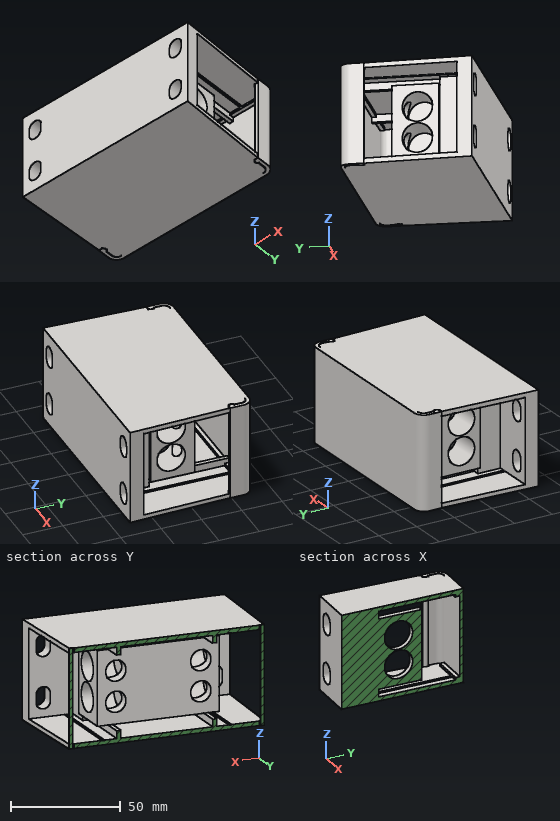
import cadquery as cq

LENGTH = 100.0
DEPTH = 62.0
HEIGHT = 48.0
FRONT = -DEPTH / 2
BACK = DEPTH / 2

PLATE = 2.4
FRONT_WALL = 7.0

COVER_LENGTH = 96.6
COVER_WALL = 2.0
COVER_SKIRT = 11.5
COVER_RADIUS = 5.0
BEAD_RADIUS = 1.5
BEAD_INSET = 0.6
COVER_GAP = 0.3
SEAM = 0.1
SHOULDER_STEP = 0.1

SLOT_WIDTH = 7.0
SLOT_HEIGHT = 10.5
SLOT_PITCH_X = 85.0
SLOT_PITCH_Z = 24.9

CORE_LENGTH = 60.2
FOOT_LENGTH = 56.0
FOOT_BACK = 19.0
CORE_BACK = 40.8
CORE_HEIGHT = 36.0
BORE_DIAMETER = 14.0
BORE_PITCH = 14.8
BORE_FROM_FRONT = 29.0
BORE_DEPTH = 16.0
CROSS_DIAMETER = 10.0
CROSS_SPAN = 42.0
RIB_WIDTH = 2.2
RIB_SPAN = 49.6

RAIL_DEPTH = 2.2
RAIL_HEIGHT = 1.2
GROOVE_WIDTH = 1.0
GROOVE_DEPTH = 0.3
GROOVE_SPAN = 62.7

COVER_HALF = COVER_LENGTH / 2
COVER_INSIDE = COVER_HALF - COVER_WALL
COVER_BACK = BACK - COVER_WALL
COVER_END = BACK - COVER_SKIRT
INNER_RADIUS = COVER_RADIUS - COVER_WALL
CAVITY_FRONT = FRONT + FRONT_WALL
CAVITY_HEIGHT = HEIGHT - 2 * PLATE
BEAD_X = COVER_INSIDE + BEAD_INSET
BEAD_Y = COVER_END + BEAD_RADIUS


def box(x_range, y_range, z_range):
    """Box between the given limits on each axis."""
    sizes = [high - low for low, high in (x_range, y_range, z_range)]
    corner = (x_range[0], y_range[0], z_range[0])
    return cq.Workplane("XY").box(*sizes, centered=False).translate(corner)


def centred(size):
    return (-size / 2, size / 2)


def prism(outline, height):
    """Extrude an XY outline equally above and below Z = 0."""
    return outline.extrude(height / 2, both=True)


def both_ends(solid):
    return solid.union(solid.mirror("YZ"))


def both_plates(solid):
    return solid.union(solid.mirror("XY"))


def cover_block(half_length, back, radius):
    """Full-height block from the cover's end face to its back, with rounded back corners."""
    block = box((-half_length, half_length), (COVER_END, back), centred(HEIGHT))
    return block.edges("|Z and >Y").fillet(radius)


def beads(radius):
    bead = prism(cq.Workplane("XY").center(BEAD_X, BEAD_Y).circle(radius), HEIGHT)
    return both_ends(bead)


def shell():
    """Solid outer form: a body tapering to the back, capped by the wider rounded cover."""
    half = LENGTH / 2
    shoulder = COVER_HALF - SHOULDER_STEP
    outline = cq.Workplane("XY").polyline([
        (-half, FRONT), (half, FRONT),
        (shoulder, COVER_END), (-shoulder, COVER_END),
    ]).close()
    return prism(outline, HEIGHT).union(cover_block(COVER_HALF, BACK, COVER_RADIUS))


def cavity():
    """Space behind the front wall, narrowed by the cover's side walls at the back."""
    tunnel = box(centred(LENGTH), (CAVITY_FRONT, COVER_END), centred(CAVITY_HEIGHT))
    behind_cover = cover_block(COVER_INSIDE, COVER_BACK, INNER_RADIUS)
    behind_cover = behind_cover.cut(beads(BEAD_RADIUS))
    slab = box(centred(LENGTH), (COVER_END, BACK), centred(CAVITY_HEIGHT))
    return tunnel.union(behind_cover.intersect(slab))


def cover_clearance():
    """Gap between the plates and the cover's side walls, around the corners and beads."""
    inside = cover_block(COVER_INSIDE, COVER_BACK, INNER_RADIUS)
    plate_tab = cover_block(COVER_INSIDE - COVER_GAP, COVER_BACK, INNER_RADIUS)
    gap = inside.cut(plate_tab).union(beads(BEAD_RADIUS + COVER_GAP))
    behind_end = box(centred(LENGTH), (COVER_END, BACK), centred(HEIGHT))
    side_walls = behind_end.cut(inside).union(beads(BEAD_RADIUS))
    seam = box((COVER_INSIDE, LENGTH / 2), (COVER_END - SEAM, COVER_END), centred(HEIGHT))
    return gap.intersect(behind_end).cut(side_walls).union(both_ends(seam))


def fixing_slots():
    face = cq.Workplane("XZ", origin=(0, FRONT, 0))
    slots = face.rarray(SLOT_PITCH_X, SLOT_PITCH_Z, 2, 2).slot2D(SLOT_HEIGHT, SLOT_WIDTH, 90)
    return slots.extrude(-FRONT_WALL)


def core():
    """Central block standing on a full-height foot, with two blind bores in each end.

    Narrower holes run in from the back of the block, each meeting a bore at its axis.
    """
    foot = box(centred(FOOT_LENGTH), (CAVITY_FRONT, FRONT + FOOT_BACK), centred(CAVITY_HEIGHT))
    block = box(centred(CORE_LENGTH), (FRONT + FOOT_BACK, FRONT + CORE_BACK), centred(CORE_HEIGHT))
    end_plane = cq.Workplane("YZ", origin=(CORE_LENGTH / 2, FRONT + BORE_FROM_FRONT, 0))
    bores = end_plane.rarray(1, BORE_PITCH, 1, 2).circle(BORE_DIAMETER / 2).extrude(-BORE_DEPTH)
    back_face = cq.Workplane("XZ", origin=(0, FRONT + CORE_BACK, 0))
    cross_holes = back_face.rarray(CROSS_SPAN, BORE_PITCH, 2, 2).circle(CROSS_DIAMETER / 2)
    cross_holes = cross_holes.extrude(CORE_BACK - BORE_FROM_FRONT)
    return foot.union(block).cut(both_ends(bores)).cut(cross_holes)


def ribs():
    """Ribs on both plates, running under the core to the cover's back wall."""
    outer = RIB_SPAN / 2
    rib = box((outer - RIB_WIDTH, outer), (FRONT + FOOT_BACK, COVER_BACK),
              (CORE_HEIGHT / 2, CAVITY_HEIGHT / 2))
    return both_plates(both_ends(rib))


def rails():
    """Low rails where the plates meet the cover's back wall."""
    top = CAVITY_HEIGHT / 2
    half = COVER_INSIDE - INNER_RADIUS
    rail = box((-half, half), (COVER_BACK - RAIL_DEPTH, COVER_BACK), (top - RAIL_HEIGHT, top))
    return both_plates(rail)


def grooves():
    """Shallow grooves in both plates beside the core."""
    middle = GROOVE_SPAN / 2
    top = CAVITY_HEIGHT / 2
    groove = box((middle - GROOVE_WIDTH / 2, middle + GROOVE_WIDTH / 2),
                 (CAVITY_FRONT, COVER_BACK - RAIL_DEPTH), (top, top + GROOVE_DEPTH))
    return both_plates(both_ends(groove))


housing = shell().cut(cavity()).cut(cover_clearance()).cut(fixing_slots()).cut(grooves())
result = housing.union(core()).union(ribs()).union(rails())